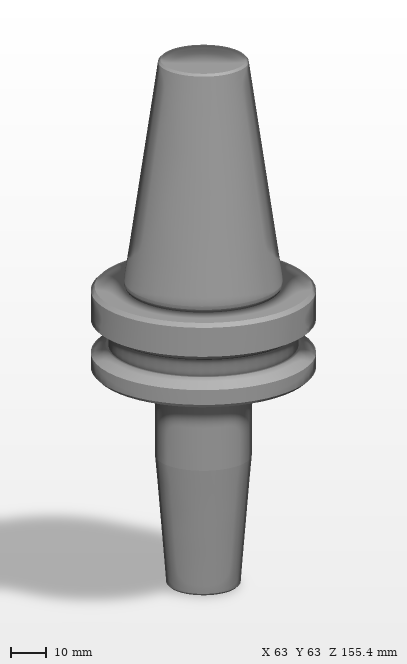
import cadquery as cq
import math

total_height = 155.4
gauge_height = 90.0
flange_top = 88.1
flange_bottom = 63.1
groove_middle = 73.5
neck_taper_top = 38.2

gauge_radius = 22.2
taper_slope = 7 / 48
small_end_chamfer = 0.6
collar_height = 1.0
undercut_depth = 0.5

flange_diameter = 63.0
flange_top_chamfer = 1.1
flange_bottom_chamfer = 1.1
groove_root_radius = 26.5
groove_step_radius = 27.4
groove_root_width = 5.1
groove_angle = 30

neck_radius = 13.5
neck_fillet = 1.9
nose_radius = 10.4
nose_chamfer = 0.6

flange_radius = flange_diameter / 2
small_end_radius = gauge_radius - taper_slope * (total_height - gauge_height)
groove_half_root = groove_root_width / 2
groove_flank_rise = (flange_radius - groove_step_radius) * math.tan(math.radians(groove_angle))
groove_half_mouth = groove_half_root + groove_flank_rise
fillet_middle_radius = neck_radius + neck_fillet * (1 - math.sqrt(0.5))
fillet_middle_height = flange_bottom - neck_fillet * (1 - math.sqrt(0.5))

profile = (
    cq.Workplane("XZ")
    .moveTo(0, 0)
    .lineTo(nose_radius - nose_chamfer, 0)
    .lineTo(nose_radius, nose_chamfer)
    .lineTo(neck_radius, neck_taper_top)
    .lineTo(neck_radius, flange_bottom - neck_fillet)
    .threePointArc(
        (fillet_middle_radius, fillet_middle_height),
        (neck_radius + neck_fillet, flange_bottom),
    )
    .lineTo(flange_radius - flange_bottom_chamfer, flange_bottom)
    .lineTo(flange_radius, flange_bottom + flange_bottom_chamfer)
    .lineTo(flange_radius, groove_middle - groove_half_mouth)
    .lineTo(groove_step_radius, groove_middle - groove_half_root)
    .lineTo(groove_root_radius, groove_middle - groove_half_root)
    .lineTo(groove_root_radius, groove_middle + groove_half_root)
    .lineTo(groove_step_radius, groove_middle + groove_half_root)
    .lineTo(flange_radius, groove_middle + groove_half_mouth)
    .lineTo(flange_radius, flange_top - flange_top_chamfer)
    .lineTo(flange_radius - flange_top_chamfer, flange_top)
    .lineTo(gauge_radius - undercut_depth, flange_top)
    .lineTo(gauge_radius, gauge_height - collar_height)
    .lineTo(gauge_radius, gauge_height)
    .lineTo(small_end_radius, total_height - small_end_chamfer)
    .lineTo(small_end_radius - small_end_chamfer, total_height)
    .lineTo(0, total_height)
    .close()
)

result = profile.revolve(360, (0, 0, 0), (0, 1, 0))